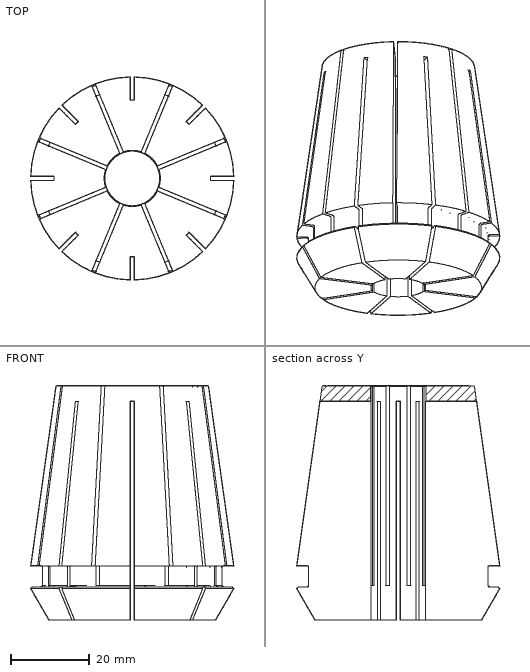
import cadquery as cq
import math

LENGTH = 60.0
MAX_RADIUS = 26.0
BORE_RADIUS = 7.0

FLANGE_CONE_TOP = 8.1
FLANGE_TOP = 8.5
GROOVE_TOP = 13.9

GROOVE_RADIUS = 23.0
GROOVE_FILLET = 0.4
FLANGE_CHAMFER = FLANGE_TOP - FLANGE_CONE_TOP
NOSE_FILLET = 0.4
BORE_CHAMFER = 0.2
FLANGE_ANGLE = math.radians(30)
BODY_ANGLE = math.radians(8)

SLOT_COUNT = 8
SLOT_WIDTH = 1.0
SLOT_OVERRUN = 1.0
SLOT_PITCH = 360.0 / SLOT_COUNT
NOSE_WEB = 4.0
FLANGE_SLOT_END = LENGTH - NOSE_WEB
NOSE_SLOT_END = FLANGE_TOP + GROOVE_FILLET


def body_radius(z):
    """Radius of the long clamping cone at height z."""
    return MAX_RADIUS - (z - GROOVE_TOP) * math.tan(BODY_ANGLE)


def make_body():
    """Revolve the half section of the unslotted collet about Z."""
    flange_end_radius = MAX_RADIUS - FLANGE_CONE_TOP * math.tan(FLANGE_ANGLE)
    arc_offset = GROOVE_FILLET * (1 - math.sqrt(0.5))
    fillet_radius_end = GROOVE_RADIUS + GROOVE_FILLET
    return (
        cq.Workplane("XZ")
        .moveTo(BORE_RADIUS, 0)
        .lineTo(flange_end_radius, 0)
        .lineTo(MAX_RADIUS, FLANGE_CONE_TOP)
        .lineTo(MAX_RADIUS - FLANGE_CHAMFER, FLANGE_TOP)
        .lineTo(fillet_radius_end, FLANGE_TOP)
        .threePointArc(
            (GROOVE_RADIUS + arc_offset, FLANGE_TOP + arc_offset),
            (GROOVE_RADIUS, FLANGE_TOP + GROOVE_FILLET),
        )
        .lineTo(GROOVE_RADIUS, GROOVE_TOP - GROOVE_FILLET)
        .threePointArc(
            (GROOVE_RADIUS + arc_offset, GROOVE_TOP - arc_offset),
            (fillet_radius_end, GROOVE_TOP),
        )
        .lineTo(MAX_RADIUS, GROOVE_TOP)
        .lineTo(body_radius(LENGTH), LENGTH)
        .lineTo(BORE_RADIUS + BORE_CHAMFER, LENGTH)
        .lineTo(BORE_RADIUS, LENGTH - BORE_CHAMFER)
        .close()
        .revolve(360, (0, 0, 0), (0, 1, 0))
        .faces(">Z")
        .edges(cq.selectors.RadiusNthSelector(-1))
        .fillet(NOSE_FILLET)
    )


def cut_slots(body, bottom, top, first_angle):
    """Cut equally spaced radial slots from the bore outwards between two heights."""
    reach = MAX_RADIUS + SLOT_OVERRUN
    height = top - bottom
    blade = cq.Workplane("XY", origin=(0, 0, bottom)).box(
        reach, SLOT_WIDTH, height, centered=(False, True, False)
    )
    for index in range(SLOT_COUNT):
        angle = first_angle + index * SLOT_PITCH
        body = body.cut(blade.rotate((0, 0, 0), (0, 0, 1), angle))
    return body


collet = make_body()

collet = cut_slots(collet, 0, FLANGE_SLOT_END, 0)

collet = cut_slots(collet, NOSE_SLOT_END, LENGTH, SLOT_PITCH / 2)

result = collet